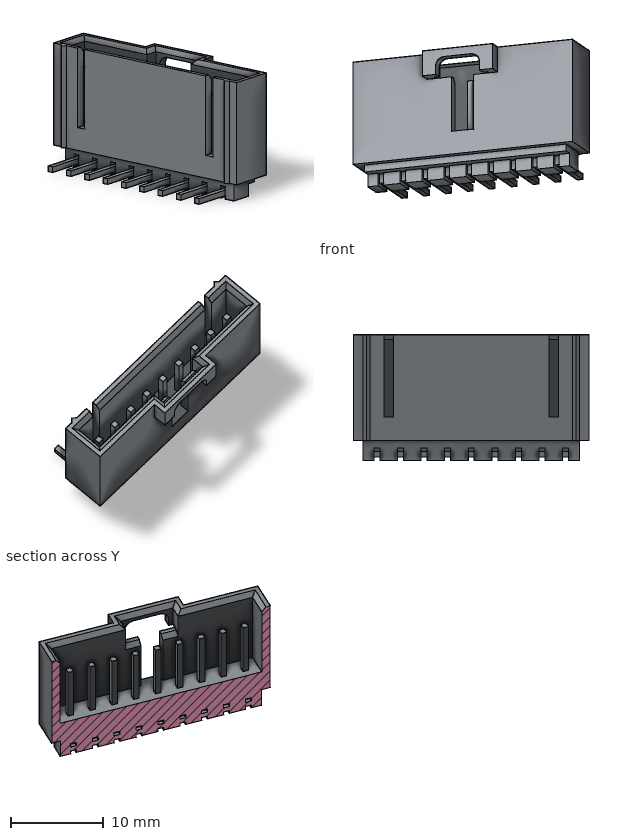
import cadquery as cq

shroud_length = 25.4
shroud_width = 5.08
shroud_height = 11.43
wall = 1.02
rim_chamfer = 0.5
cavity_depth = 8.9
cavity_length = shroud_length - 2 * wall
cavity_width = shroud_width - 2 * wall

latch_length = 8.13
latch_reach = 1.52
latch_height = 2.8
latch_opening = latch_length - 2 * wall
latch_notch_length = 5.08
latch_notch_height = 1.9
latch_notch_radius = 1.02
key_slot_width = 2.55

front_slot_width = 1.02
front_slot_offset = 8.9
rib_width = 0.75
rib_height = rib_width / 2
rib_offset = 11.3

base_length = 23.37
base_height = 2.15
base_front_setback = 0.75
base_step_setback = 0.75
base_foot_setback = 1.78
base_step_height = 0.75

pin_count = 9
pin_pitch = 2.55
pin_size = 0.64
pin_tip_depth = 2.8
pin_ground_gap = 0.38
pin_reach = 3.68
elbow_chamfer = 0.38

front_y = -shroud_width / 2
back_y = shroud_width / 2
inner_back_y = back_y - wall
base_top = -shroud_height
base_bottom = base_top - base_height
base_front_y = front_y + base_front_setback
base_step_y = back_y - base_step_setback
base_foot_y = back_y - base_foot_setback
pin_bottom = base_bottom + pin_ground_gap
pin_top = pin_bottom + pin_size
notch_ceiling = pin_top + elbow_chamfer
pin_positions = [(i - (pin_count - 1) / 2) * pin_pitch for i in range(pin_count)]


def block(x_center, x_size, y_min, y_max, z_min, z_max):
    """Box centred on x_center and bounded by the given Y and Z limits."""
    corner = (x_center - x_size / 2, y_min, z_min)
    return cq.Workplane().box(x_size, y_max - y_min, z_max - z_min, centered=False).translate(corner)


def side_profile(points, x_center, x_size):
    """Solid of width x_size with the given outline of (Y, Z) points."""
    profile = cq.Workplane("YZ", origin=(x_center - x_size / 2, 0, 0))
    return profile.polyline(points).close().extrude(x_size)


def make_shell():
    """Shroud and latch housing, with the joined cavity chamfered at the rim and at the latch sill."""
    latch_back_y = back_y + latch_reach
    shell = block(0, shroud_length, front_y, back_y, base_top, 0)
    shell = shell.union(block(0, latch_length, 0, latch_back_y, -latch_height, 0))

    cavity = block(0, cavity_length, -cavity_width / 2, cavity_width / 2, -cavity_depth, 0)
    latch_cavity = block(0, latch_opening, 0, latch_back_y - wall, -latch_height, 0)
    shell = shell.cut(cavity.union(latch_cavity))
    mouth_edges = shell.faces(">Z").val().innerWires()[0].Edges()
    shell = shell.newObject(mouth_edges).chamfer(rim_chamfer)

    sill_bevel = side_profile(
        [
            (inner_back_y, -latch_height),
            (inner_back_y + rim_chamfer, -latch_height),
            (inner_back_y, -latch_height - rim_chamfer),
        ],
        0,
        latch_opening,
    )
    return shell.cut(sill_bevel)


def make_latch_notch():
    """Round-cornered notch open at the bottom of the latch housing's back wall."""
    notch_top = latch_notch_height - latch_height
    notch = block(
        0, latch_notch_length, inner_back_y + latch_reach, back_y + latch_reach, -latch_height, notch_top
    )
    return notch.edges("|Y and >Z").fillet(latch_notch_radius)


def make_rib(x_center):
    """Triangular guide rib running the full height of the front wall."""
    rib = cq.Workplane("XY", origin=(x_center, front_y, base_top))
    outline = [(-rib_width / 2, 0), (0, -rib_height), (rib_width / 2, 0)]
    return rib.polyline(outline).close().extrude(shroud_height)


def make_base():
    """Stepped base bar with one open notch per pin."""
    base = block(0, base_length, base_front_y, base_step_y, base_top - base_step_height, base_top)
    base = base.union(block(0, base_length, base_front_y, base_foot_y, base_bottom, base_top))
    for x in pin_positions:
        base = base.cut(block(x, pin_size, base_front_y, base_foot_y, base_bottom, notch_ceiling))
    return base


def make_pin(x_center):
    """Right-angle pin with a bevel in its inner corner."""
    half = pin_size / 2
    tip_y = front_y - pin_reach
    outline = [
        (half, -pin_tip_depth),
        (half, pin_bottom),
        (tip_y, pin_bottom),
        (tip_y, pin_top),
        (-half - elbow_chamfer, pin_top),
        (-half, notch_ceiling),
        (-half, -pin_tip_depth),
    ]
    return side_profile(outline, x_center, pin_size)


shroud = make_shell().cut(make_latch_notch())
shroud = shroud.cut(block(0, key_slot_width, inner_back_y, back_y, -cavity_depth, -latch_height))
for side in (-1, 1):
    slot_x = side * front_slot_offset
    shroud = shroud.cut(block(slot_x, front_slot_width, front_y, -cavity_width / 2, -cavity_depth, 0))
    shroud = shroud.union(make_rib(side * rib_offset))

result = shroud.union(make_base())
for pin_x in pin_positions:
    result = result.union(make_pin(pin_x))